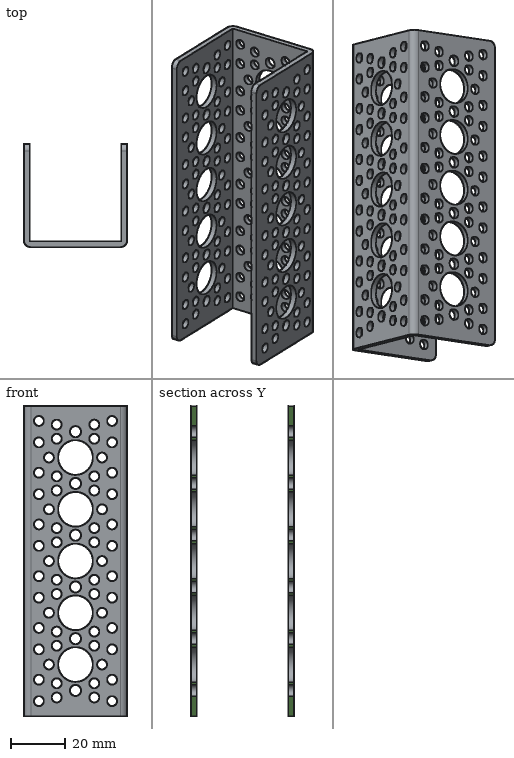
import cadquery as cq
import math

WIDTH = 38.1
DEPTH = WIDTH
LENGTH = 3 * WIDTH
WALL = 2.286
BEND_RADIUS = 2.54
TIP_RADIUS = 2.54

BORE_COUNT = 5
PITCH = WIDTH / 2
BORE_DIAMETER = 12.7
SCREW_DIAMETER = 3.556
MIDDLE_DIAMETER = 4.0
INNER_CIRCLE_RADIUS = 9.779
OUTER_CIRCLE_RADIUS = PITCH

INNER_DIAGONAL = INNER_CIRCLE_RADIUS * math.sin(math.radians(45))
OUTER_DIAGONAL = OUTER_CIRCLE_RADIUS * math.sin(math.radians(45))


def centred_row(count):
    """Positions along the channel, one pitch apart and centred on its middle."""
    return [(i - (count - 1) / 2) * PITCH for i in range(count)]


def hole_positions():
    """Return the bore, middle-hole and screw centres as (across, along) points."""
    bore_heights = centred_row(BORE_COUNT)
    middle_heights = centred_row(BORE_COUNT + 1)
    bores = [(0, z) for z in bore_heights]
    middles = [(0, z) for z in middle_heights]

    screws = []
    for side in (-1, 1):
        screws += [(side * INNER_CIRCLE_RADIUS, z) for z in bore_heights]
        for diagonal in (INNER_DIAGONAL, OUTER_DIAGONAL):
            offset = diagonal - PITCH / 2
            for z in middle_heights:
                screws += [(side * diagonal, z - offset), (side * diagonal, z + offset)]
    return bores, middles, screws


def make_channel():
    """U-shaped channel, open towards +Y, centred on the origin."""
    block = cq.Workplane("XY").box(WIDTH, DEPTH, LENGTH)
    block = block.edges("|Z and <Y").fillet(BEND_RADIUS)
    block = block.edges("|X and >Y").fillet(TIP_RADIUS)
    hollow = (
        cq.Workplane("XY")
        .box(WIDTH - 2 * WALL, DEPTH, LENGTH)
        .translate((0, WALL, 0))
    )
    return block.cut(hollow)


def make_hole_cutter(plane, start, length):
    """Pins for the whole hole pattern, running from start along the plane normal."""
    bores, middles, screws = hole_positions()
    base = cq.Workplane(plane).workplane(offset=start)
    cutter = base.pushPoints(bores).circle(BORE_DIAMETER / 2).extrude(length)
    for points, diameter in ((middles, MIDDLE_DIAMETER), (screws, SCREW_DIAMETER)):
        cutter = cutter.add(base.pushPoints(points).circle(diameter / 2).extrude(length))
    return cutter.combine(glue=True)


channel = make_channel()
web_holes = make_hole_cutter("XZ", 0, DEPTH)
wall_holes = make_hole_cutter("YZ", -WIDTH, 2 * WIDTH)

result = channel.cut(web_holes).cut(wall_holes)